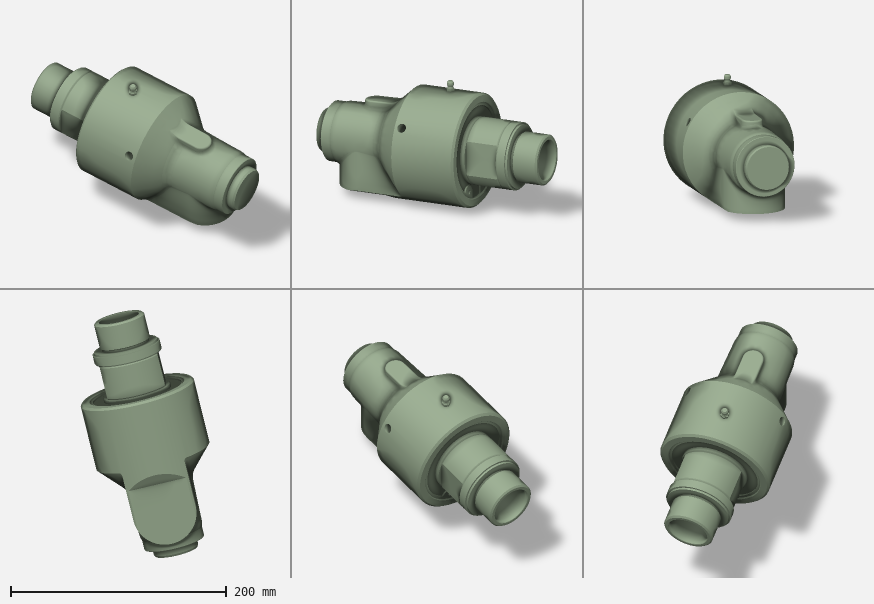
import cadquery as cq
import math

total_length = 228.0
selection_margin = 1.0

thread_dia = 47.8
thread_chamfer = 1.5
thread_end_x = 24.0
undercut_dia = 44.84
undercut_run_in = 0.9
bore_dia = 38.1
bore_chamfer = 0.4
bore_depth = 60.0

shoulder_dia = 64.0
shoulder_nose_dia = 60.3
shoulder_start_x = 26.9
nose_end_x = 28.9
front_groove_x = 38.0
rear_groove_x = 70.1
groove_depth = 0.7
groove_half_width = 1.1
flat_across = 55.0

barrel_dia = 108.0
barrel_start_x = 71.4
barrel_end_x = 134.6
barrel_chamfer = 2.0
recess_dia = 90.07
recess_chamfer = 0.6
recess_depth = 3.0
rim_inner_dia = 84.8
rim_height = 1.5
lug_radius = 8.15
lug_y = 16.5
lug_z = -38.0
lug_hole_dia = 4.36
lug_hole_y = 15.3
lug_hole_z = -36.4
lug_hole_depth = 6.0

side_hole_dia = 8.6
side_hole_x = 127.4
side_hole_angle = 30.0
side_hole_depth = 20.0

cone_neck_corner_x = 159.6
cone_neck_corner_dia = 62.5
cone_neck_fillet = 13.5
neck_end_x = 204.5
neck_end_dia = 59.6
collar_start_x = 210.0
collar_end_x = 219.6
collar_dia = 57.0
collar_end_dia = 56.25
end_spigot_dia = 42.4
end_spigot_chamfer_length = 2.0
end_spigot_chamfer_depth = 1.0

foot_half_width = 29.7
foot_end_x = 210.4
foot_base_z = -46.4
foot_rim_rise = 3.0
foot_ramp_start_x = 141.8
foot_ramp_end_x = 152.4
foot_fillet = 4.0
foot_overlap = 10.0

pad_half_width = 9.9
pad_centre_x = 176.4
pad_top_z = 37.5
pad_end_drop = 0.8
pad_edge_fillet = 1.5
pad_foot_fillet = 3.0
pad_top_start_x = 158.0
pad_ramp_radius = 14.0
pad_ramp_angle = 28.0
pad_run_length = 9.0

nipple_x = 99.7
nipple_top_z = 63.99
nipple_root_depth = 2.0
nipple_hex_across_flats = 7.0
nipple_hex_top_z = 56.7
nipple_shoulder_dia = 6.4
nipple_neck_dia = 5.0
nipple_neck_z = 58.6
nipple_head_dia = 6.6
nipple_head_start_z = 60.2
nipple_head_end_z = 62.4
nipple_tip_dia = 4.36


def cylinder_x(dia, start_x, end_x):
    """Cylinder along the main axis."""
    return cq.Workplane("YZ", origin=(start_x, 0, 0)).circle(dia / 2).extrude(end_x - start_x)


def make_turned_body():
    thread_r = thread_dia / 2
    undercut_r = undercut_dia / 2
    shoulder_r = shoulder_dia / 2
    barrel_r = barrel_dia / 2
    spigot_r = end_spigot_dia / 2
    groove_r = shoulder_r - groove_depth
    profile = (
        cq.Workplane("XY")
        .moveTo(0, 0)
        .lineTo(0, thread_r - thread_chamfer)
        .lineTo(thread_chamfer, thread_r)
        .lineTo(thread_end_x, thread_r)
        .lineTo(thread_end_x + undercut_run_in, undercut_r)
        .lineTo(shoulder_start_x, undercut_r)
        .lineTo(shoulder_start_x, shoulder_nose_dia / 2)
        .lineTo(nose_end_x, shoulder_nose_dia / 2)
        .lineTo(nose_end_x, shoulder_r)
        .lineTo(front_groove_x - groove_half_width, shoulder_r)
        .lineTo(front_groove_x, groove_r)
        .lineTo(front_groove_x + groove_half_width, shoulder_r)
        .lineTo(rear_groove_x - groove_half_width, shoulder_r)
        .lineTo(rear_groove_x, groove_r)
        .lineTo(rear_groove_x + groove_half_width, shoulder_r)
        .lineTo(barrel_start_x, shoulder_r)
        .lineTo(barrel_start_x, barrel_r - barrel_chamfer)
        .lineTo(barrel_start_x + barrel_chamfer, barrel_r)
        .lineTo(barrel_end_x, barrel_r)
        .lineTo(cone_neck_corner_x, cone_neck_corner_dia / 2)
        .lineTo(neck_end_x, neck_end_dia / 2)
        .tangentArcPoint((collar_start_x, collar_dia / 2), relative=False)
        .lineTo(collar_end_x - (collar_dia - collar_end_dia) / 2, collar_dia / 2)
        .lineTo(collar_end_x, collar_end_dia / 2)
        .lineTo(collar_end_x, spigot_r)
        .lineTo(total_length - end_spigot_chamfer_length, spigot_r)
        .lineTo(total_length, spigot_r - end_spigot_chamfer_depth)
        .lineTo(total_length, 0)
        .close()
    )
    turned = profile.revolve(360, (0, 0, 0), (1, 0, 0))
    corner = cq.selectors.BoxSelector(
        (cone_neck_corner_x - selection_margin, -barrel_dia, -barrel_dia),
        (cone_neck_corner_x + selection_margin, barrel_dia, barrel_dia),
        boundingbox=True,
    )
    return turned.edges(corner).fillet(cone_neck_fillet)


def make_foot():
    """Round-ended block that follows the barrel underneath and steps up to a flat base."""
    centre_x = foot_end_x - foot_half_width
    start_x = barrel_end_x - foot_overlap
    plan = (
        cq.Workplane("XY", origin=(0, 0, -barrel_dia / 2))
        .moveTo(start_x, -foot_half_width)
        .lineTo(centre_x, -foot_half_width)
        .threePointArc((foot_end_x, 0), (centre_x, foot_half_width))
        .lineTo(start_x, foot_half_width)
        .close()
        .extrude(barrel_dia / 2)
    )
    side = (
        cq.Workplane("XZ")
        .moveTo(start_x, 0)
        .lineTo(start_x, -barrel_dia / 2)
        .lineTo(foot_ramp_start_x, -barrel_dia / 2)
        .lineTo(foot_ramp_end_x, foot_base_z)
        .lineTo(foot_end_x, foot_base_z)
        .lineTo(foot_end_x, 0)
        .close()
        .extrude(foot_half_width, both=True)
    )
    return plan.intersect(side).intersect(cylinder_x(barrel_dia, start_x, foot_end_x))


def make_pad():
    """Round-ended pad whose nearly level top curves up into the slope of the cone."""
    end_x = pad_centre_x + pad_half_width
    ramp_angle = math.radians(pad_ramp_angle)
    ramp_start_x = pad_top_start_x - pad_ramp_radius * math.sin(ramp_angle)
    ramp_start_z = pad_top_z + pad_ramp_radius * (1 - math.cos(ramp_angle))
    ramp_middle_x = pad_top_start_x - pad_ramp_radius * math.sin(ramp_angle / 2)
    ramp_middle_z = pad_top_z + pad_ramp_radius * (1 - math.cos(ramp_angle / 2))
    hidden_start_x = ramp_start_x - pad_run_length
    hidden_start_z = ramp_start_z + pad_run_length * math.tan(ramp_angle)
    plan = (
        cq.Workplane("XY")
        .moveTo(hidden_start_x, -pad_half_width)
        .lineTo(pad_centre_x, -pad_half_width)
        .threePointArc((end_x, 0), (pad_centre_x, pad_half_width))
        .lineTo(hidden_start_x, pad_half_width)
        .close()
        .extrude(barrel_dia / 2)
    )
    side = (
        cq.Workplane("XZ")
        .moveTo(hidden_start_x, 0)
        .lineTo(hidden_start_x, hidden_start_z)
        .lineTo(ramp_start_x, ramp_start_z)
        .threePointArc((ramp_middle_x, ramp_middle_z), (pad_top_start_x, pad_top_z))
        .lineTo(end_x, pad_top_z - pad_end_drop)
        .lineTo(end_x, 0)
        .close()
        .extrude(pad_half_width, both=True)
    )
    top_zone = cq.selectors.BoxSelector(
        (hidden_start_x, -barrel_dia, pad_top_z - pad_end_drop - selection_margin),
        (end_x + selection_margin, barrel_dia, barrel_dia),
    )
    pad = plan.intersect(side)
    return pad.edges(top_zone).edges("not (|Y or |Z)").fillet(pad_edge_fillet)


def add_pad(body):
    joined = body.union(make_pad())
    seam_zone = cq.selectors.BoxSelector(
        (barrel_end_x, -pad_half_width - selection_margin, 0),
        (neck_end_x, pad_half_width + selection_margin, pad_top_z - pad_foot_fillet),
    )
    seam = joined.edges("not (%LINE or %CIRCLE or %ELLIPSE)").edges(seam_zone)
    return seam.fillet(pad_foot_fillet)


def add_foot(body):
    joined = body.union(make_foot())
    seam_zone = cq.selectors.BoxSelector(
        (barrel_end_x, -barrel_dia, foot_base_z + foot_rim_rise),
        (collar_end_x, barrel_dia, 0),
    )
    seam = joined.edges("not (%LINE or %CIRCLE or %ELLIPSE)").edges(seam_zone)
    return cq.Workplane(seam.fillet(foot_fillet).val().fix())


def make_recess():
    """Stepped recess: a raised rim with two lugs stands above the floor, open between the lugs."""
    floor_x = barrel_start_x + recess_depth
    step_x = floor_x - rim_height
    bore = cylinder_x(recess_dia, barrel_start_x, floor_x)
    mouth = (
        cq.Workplane("YZ", origin=(barrel_start_x, 0, 0))
        .circle(recess_dia / 2 + recess_chamfer)
        .workplane(offset=recess_chamfer)
        .circle(recess_dia / 2)
        .loft(ruled=True)
    )
    rim = cylinder_x(recess_dia, step_x, floor_x).cut(cylinder_x(rim_inner_dia, step_x, floor_x))
    gap_width = 2 * (lug_y - lug_radius)
    gap = (
        cq.Workplane("XY", origin=(step_x, 0, -recess_dia / 2))
        .box(recess_depth, gap_width, recess_dia, centered=(False, True, True))
    )
    raised = rim.cut(gap)
    for side in (-1, 1):
        centre_y = side * lug_y
        lug = (
            cq.Workplane("YZ", origin=(step_x, 0, 0))
            .moveTo(centre_y - lug_radius, -recess_dia / 2)
            .lineTo(centre_y - lug_radius, lug_z)
            .threePointArc((centre_y, lug_z + lug_radius), (centre_y + lug_radius, lug_z))
            .lineTo(centre_y + lug_radius, -recess_dia / 2)
            .close()
            .extrude(rim_height)
        )
        raised = raised.union(lug)
    hub = cylinder_x(shoulder_dia, barrel_start_x, floor_x)
    return bore.cut(raised).union(mouth).cut(hub)


def make_lug_holes():
    return (
        cq.Workplane("YZ", origin=(barrel_start_x, 0, 0))
        .pushPoints([(-lug_hole_y, lug_hole_z), (lug_hole_y, lug_hole_z)])
        .circle(lug_hole_dia / 2)
        .extrude(recess_depth + lug_hole_depth)
    )


def make_side_holes():
    """Two radial blind holes, raised by the same angle above the horizontal on either side."""
    angle = math.radians(side_hole_angle)
    holes = cq.Workplane("XY")
    for side in (-1, 1):
        outward = cq.Vector(0, side * math.cos(angle), math.sin(angle))
        bottom = cq.Vector(side_hole_x, 0, 0) + outward * (barrel_dia / 2 - side_hole_depth)
        holes = holes.add(cq.Solid.makeCylinder(side_hole_dia / 2, 2 * side_hole_depth, bottom, outward))
    return holes.combine()


def make_bore():
    mouth_r = bore_dia / 2 + bore_chamfer
    bore = cylinder_x(bore_dia, 0, bore_depth)
    mouth = cq.Workplane("YZ").circle(mouth_r).workplane(offset=bore_chamfer).circle(bore_dia / 2)
    return bore.union(mouth.loft(ruled=True))


def make_flats():
    """Material outside the two wrench flats."""
    length = rear_groove_x - front_groove_x
    sleeve = cylinder_x(2 * shoulder_dia, front_groove_x, rear_groove_x)
    middle = (
        cq.Workplane("XY", origin=(front_groove_x, 0, 0))
        .box(length, flat_across, 2 * shoulder_dia, centered=(False, True, True))
    )
    return sleeve.cut(middle)


def make_nipple():
    hex_circumscribed_dia = nipple_hex_across_flats / math.cos(math.pi / 6)
    root_z = barrel_dia / 2 - nipple_root_depth
    base = (
        cq.Workplane("XY", origin=(nipple_x, 0, root_z))
        .polygon(6, hex_circumscribed_dia)
        .extrude(nipple_hex_top_z - root_z)
    )
    stem = (
        cq.Workplane("XZ", origin=(nipple_x, 0, 0))
        .moveTo(0, root_z)
        .lineTo(nipple_shoulder_dia / 2, root_z)
        .lineTo(nipple_shoulder_dia / 2, nipple_hex_top_z)
        .lineTo(nipple_neck_dia / 2, nipple_neck_z)
        .lineTo(nipple_head_dia / 2, nipple_head_start_z)
        .lineTo(nipple_head_dia / 2, nipple_head_end_z)
        .lineTo(nipple_tip_dia / 2, nipple_top_z)
        .lineTo(0, nipple_top_z)
        .close()
        .revolve(360, (0, 0, 0), (0, 1, 0))
    )
    return base.union(stem)


body = add_foot(make_turned_body())
body = add_pad(body)
body = body.cut(make_flats()).cut(make_bore())
body = body.cut(make_recess()).cut(make_lug_holes()).cut(make_side_holes())
result = body.union(make_nipple())